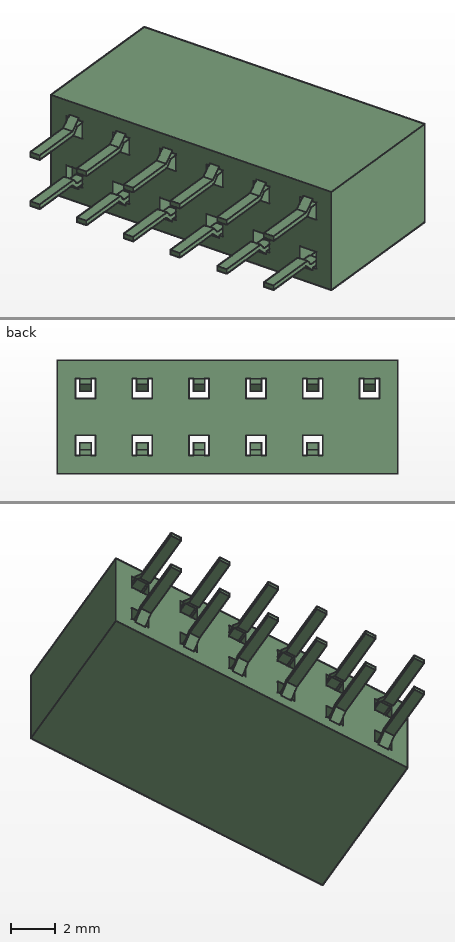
import cadquery as cq


COLUMNS = 6
HOUSING_LENGTH = 15.24
PITCH = HOUSING_LENGTH / COLUMNS
HOUSING_HEIGHT = 2 * PITCH
OVERALL_DEPTH = 10.45
HOUSING_DEPTH = 7.36

HOLE_SIZE = 0.88
BLIND_HOLE_DEPTH = 0.5
ROW_OFFSET = PITCH / 2
FIRST_COLUMN_X = -HOUSING_LENGTH / 2 + PITCH / 2

PIN_WIDTH = 0.52
PIN_THICKNESS = 0.25
PIN_PROJECTION = OVERALL_DEPTH - HOUSING_DEPTH
HOLE_WALL_Z = ROW_OFFSET + HOLE_SIZE / 2
SEAT_INNER_Z = HOLE_WALL_Z - PIN_THICKNESS
TAIL_INNER_Z = ROW_OFFSET - PIN_THICKNESS / 2
TAIL_OUTER_Z = ROW_OFFSET + PIN_THICKNESS / 2
BEND_START = 0.14
BEND_END_INNER = 0.43
BEND_END_OUTER = 0.5
HEEL_OVERHANG = 0.14


def make_pin(x, row):
    """Bent pin of one column; row is 1 for the upper row and -1 for the lower row."""
    upper_profile = [
        (BLIND_HOLE_DEPTH, HOLE_WALL_Z),
        (0, HOLE_WALL_Z),
        (0, HOLE_WALL_Z + HEEL_OVERHANG),
        (-BEND_END_OUTER, TAIL_OUTER_Z),
        (-PIN_PROJECTION, TAIL_OUTER_Z),
        (-PIN_PROJECTION, TAIL_INNER_Z),
        (-BEND_END_INNER, TAIL_INNER_Z),
        (-BEND_START, SEAT_INNER_Z),
        (BLIND_HOLE_DEPTH, SEAT_INNER_Z),
    ]
    profile = [(y, row * z) for y, z in upper_profile]
    return (
        cq.Workplane("YZ", origin=(x, 0, 0))
        .polyline(profile)
        .close()
        .extrude(PIN_WIDTH / 2, both=True)
    )


def make_hole(x, row, depth):
    """Cutter for one square hole, starting at the front face."""
    return (
        cq.Workplane("XY")
        .box(HOLE_SIZE, depth, HOLE_SIZE, centered=(True, False, True))
        .translate((x, 0, row * ROW_OFFSET))
    )


def make_housing(fixed_sites, loose_site):
    """Block with all its holes and with the pins that are part of it."""
    housing = cq.Workplane("XY").box(
        HOUSING_LENGTH, HOUSING_DEPTH, HOUSING_HEIGHT, centered=(True, False, True)
    )
    housing = housing.cut(make_hole(*loose_site, BLIND_HOLE_DEPTH))
    for site in fixed_sites:
        housing = housing.cut(make_hole(*site, HOUSING_DEPTH))
    for site in fixed_sites:
        housing = housing.union(make_pin(*site))
    return housing


sites = [(FIRST_COLUMN_X + i * PITCH, row) for row in (-1, 1) for i in range(COLUMNS)]
loose_site, *fixed_sites = sites

housing = make_housing(fixed_sites, loose_site)
loose_pin = make_pin(*loose_site)

result = cq.Compound.makeCompound([housing.val(), loose_pin.val()])